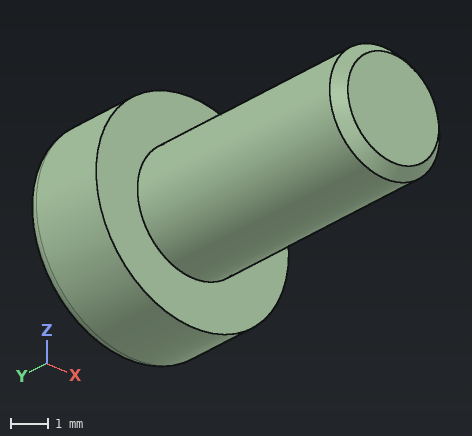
import cadquery as cq

total_length = 10.8
head_diameter = 7.0
head_height = 2.8
head_rounding = 0.4
shank_diameter = 4.0
tip_chamfer = 0.35

shank_length = total_length - head_height


def cylinder_along_y(diameter, length):
    """Cylinder on the Y axis, growing from the origin towards +Y."""
    return cq.Workplane("XZ").circle(diameter / 2).extrude(-length)


head = cylinder_along_y(head_diameter, head_height).faces(">Y").edges().fillet(head_rounding)

shank = cylinder_along_y(shank_diameter, shank_length).translate((0, -shank_length, 0))
shank = shank.faces("<Y").edges().chamfer(tip_chamfer)

result = head.union(shank)